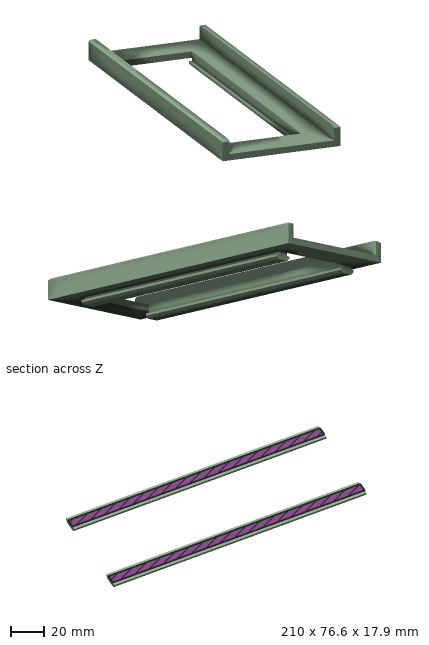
import cadquery as cq

length = 210.0
width = 76.6
channel_height = 13.0
floor_thickness = 4.0
wall_thickness = 4.5
edge_bevel = 1.0

window_length = 170.0
window_width = 46.6
window_offset = -2.5

stem_width = 6.3
stem_height = 1.9
head_width = 10.5
head_height = 3.0
head_bevel = 1.5


def make_channel():
    """Floor and walls, with the outer top edges and wall ends bevelled."""
    body = (
        cq.Workplane("XY")
        .box(length, width, channel_height, centered=(True, True, False))
        .faces(">Z")
        .chamfer(edge_bevel)
    )
    cavity = (
        cq.Workplane("XY")
        .workplane(offset=floor_thickness)
        .rect(length, width - 2 * wall_thickness)
        .extrude(channel_height)
    )
    window = (
        cq.Workplane("XY")
        .center(0, window_offset)
        .rect(window_length, window_width)
        .extrude(floor_thickness)
    )
    return body.cut(cavity).cut(window)


def make_rail(center_y):
    """T-shaped rail whose head has bevelled lower edges."""
    head_top = -stem_height
    rail_bottom = head_top - head_height
    right_half = [
        (stem_width / 2, 0),
        (stem_width / 2, head_top),
        (head_width / 2, head_top),
        (head_width / 2, rail_bottom + head_bevel),
        (head_width / 2 - head_bevel, rail_bottom),
    ]
    left_half = [(-y, z) for y, z in reversed(right_half)]
    profile = [(center_y + y, z) for y, z in right_half + left_half]
    return (
        cq.Workplane("YZ")
        .polyline(profile)
        .close()
        .extrude(window_length / 2, both=True)
    )


result = make_channel()
rail_spacing = window_width + stem_width
for side in (-1, 1):
    result = result.union(make_rail(window_offset + side * rail_spacing / 2))